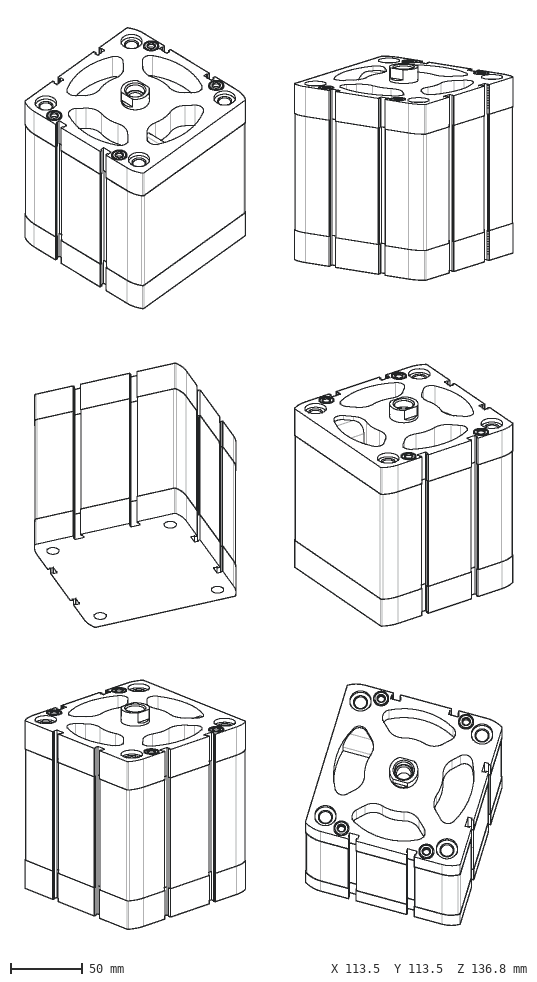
import cadquery as cq
import math

width = 113.5
half_width = width / 2
body_height = 127.0
cap_height = 21.5
barrel_height = body_height - 2 * cap_height
barrel_inset = 0.25

corner_center_x = 44.5
corner_radius = 23.0
cap_edge_radius = 1.2
barrel_edge_radius = 2.2

slot_opening_inner = 18.75
slot_opening_outer = 24.0
slot_floor_inner = 17.75
slot_floor_outer = 24.75
slot_lip = 1.8
slot_depth = 4.6
slot_chamfer = 0.2

pocket_outer_radius = 49.4
pocket_inner_radius = 27.6
web_offset = 9.6
pocket_depth = 19.0
pocket_outer_fillet = 5.7
pocket_inner_fillet = 12.0

port_radius = 8.1
port_axis_y = -20.0
port_crest_depth = 3.3

mount_position = 44.5
mount_hole_diameter = 8.57
mount_chamfer_diameter = 10.0
mount_counterbore_diameter = 15.0
mount_counterbore_depth = 3.0

screw_x = 31.1
screw_y = 50.35
screw_seat_diameter = 10.7
screw_head_diameter = 9.0
screw_gap_depth = 1.0
socket_rim_diameter = 6.0
socket_diameter = 4.8
socket_depth = 3.0

rod_diameter = 20.0
rod_radius = rod_diameter / 2
rod_projection = 9.8
rod_insertion = cap_height
flat_spacing = 17.0
flat_shoulder = 2.6
shoulder_slope = math.radians(30)
rod_rim_diameter = 15.0
rod_counterbore_diameter = 13.0
rod_counterbore_depth = 6.0
thread_diameter = 12.0
thread_core_diameter = 10.11
thread_depth = 20.0
drill_half_angle = math.radians(59)


def revolve_about_z(points):
    """Revolve an outline of (radius, z) points about the Z axis."""
    return cq.Workplane("XZ").polyline(points).close().revolve(360, (0, 0, 0), (0, 1, 0))


def four_corners(x, y):
    return [(sx * x, sy * y) for sx in (-1, 1) for sy in (-1, 1)]


def slot_cutter(inset, height):
    """One T-slot along Z in the -Y face, on the +X side of the centre plane."""
    face = -half_width + inset
    mouth_inner = slot_opening_inner - inset
    mouth_outer = slot_opening_outer + inset
    lip_y = -half_width + slot_lip
    floor_y = face + slot_depth
    return (
        cq.Workplane("XY")
        .moveTo(mouth_inner - slot_chamfer, face)
        .lineTo(mouth_inner, face + slot_chamfer)
        .lineTo(mouth_inner, lip_y)
        .lineTo(slot_floor_inner, lip_y)
        .lineTo(slot_floor_inner, floor_y)
        .lineTo(slot_floor_outer, floor_y)
        .lineTo(slot_floor_outer, lip_y)
        .lineTo(mouth_outer, lip_y)
        .lineTo(mouth_outer, face + slot_chamfer)
        .lineTo(mouth_outer + slot_chamfer, face)
        .close()
        .extrude(height)
    )


def section(inset, edge_radius, height):
    """A length of the housing with its rounded corners and T-slots, standing on Z = 0."""
    half = half_width - inset
    radius = corner_radius - inset
    center_y = half_width - corner_radius
    reach = half - corner_center_x
    corner_y = center_y + math.sqrt(radius**2 - reach**2)
    mid_angle = math.asin(reach / radius) / 2
    mid_x = corner_center_x + radius * math.sin(mid_angle)
    mid_y = center_y + radius * math.cos(mid_angle)
    block = (
        cq.Workplane("XY")
        .moveTo(-corner_center_x, half)
        .lineTo(corner_center_x, half)
        .threePointArc((mid_x, mid_y), (half, corner_y))
        .lineTo(half, -corner_y)
        .threePointArc((mid_x, -mid_y), (corner_center_x, -half))
        .lineTo(-corner_center_x, -half)
        .threePointArc((-mid_x, -mid_y), (-half, -corner_y))
        .lineTo(-half, corner_y)
        .threePointArc((-mid_x, mid_y), (-corner_center_x, half))
        .close()
        .extrude(height)
    )
    for side in ("<X", ">X"):
        block = block.faces(side).edges("|Z").fillet(edge_radius)
    slot = slot_cutter(inset, height)
    slot_pair = slot.union(slot.mirror("YZ"))
    for angle in (0, 180, 270):
        block = block.cut(slot_pair.rotate((0, 0, 0), (0, 0, 1), angle))
    return block


def web_point(radius):
    """Where the straight pocket side meets a circle about the origin, as (x, y) with y > 0."""
    y = (math.sqrt(2 * radius**2 - web_offset**2) - web_offset) / 2
    return (y + web_offset, y)


def pocket_cutter():
    """The pocket on the +X side of the top cap."""
    inner_x, inner_y = web_point(pocket_inner_radius)
    outer_x, outer_y = web_point(pocket_outer_radius)
    pocket = (
        cq.Workplane("XY", origin=(0, 0, body_height - pocket_depth))
        .moveTo(inner_x, inner_y)
        .lineTo(outer_x, outer_y)
        .threePointArc((pocket_outer_radius, 0), (outer_x, -outer_y))
        .lineTo(inner_x, -inner_y)
        .threePointArc((pocket_inner_radius, 0), (inner_x, inner_y))
        .close()
        .extrude(pocket_depth)
    )
    pocket = pocket.edges("|Z").edges("<X").fillet(pocket_inner_fillet)
    return pocket.edges("|Z").edges(">X").fillet(pocket_outer_fillet)


def port_housing():
    """Block with one rounded top edge, later trimmed to the pocket that it stands in."""
    height = pocket_depth - port_crest_depth
    side_y = port_axis_y + port_radius
    return (
        cq.Workplane("XY", origin=(0, 0, body_height - pocket_depth))
        .moveTo(0, side_y)
        .lineTo(pocket_outer_radius, side_y)
        .lineTo(pocket_outer_radius, -pocket_outer_radius)
        .lineTo(0, -pocket_outer_radius)
        .close()
        .extrude(height)
        .faces(">Z")
        .edges(">Y")
        .fillet(port_radius)
    )


def mounting_hole_cutter():
    hole_radius = mount_hole_diameter / 2
    rim_radius = mount_chamfer_diameter / 2
    counterbore_radius = mount_counterbore_diameter / 2
    ledge_z = body_height - mount_counterbore_depth
    return revolve_about_z([
        (0, 0),
        (hole_radius, 0),
        (hole_radius, ledge_z - (rim_radius - hole_radius)),
        (rim_radius, ledge_z),
        (counterbore_radius, ledge_z),
        (counterbore_radius, body_height),
        (0, body_height),
    ])


def screw_cutter():
    """The gap around a bevelled screw head and the conical-bottomed socket in it."""
    seat_radius = screw_seat_diameter / 2
    gap = revolve_about_z([
        (screw_head_diameter / 2, body_height),
        (seat_radius, body_height - screw_gap_depth),
        (seat_radius, body_height),
    ])
    rim_radius = socket_rim_diameter / 2
    socket_radius = socket_diameter / 2
    floor_z = body_height - socket_depth
    socket = revolve_about_z([
        (0, body_height),
        (rim_radius, body_height),
        (socket_radius, body_height - (rim_radius - socket_radius)),
        (socket_radius, floor_z),
        (0, floor_z - socket_radius / math.tan(drill_half_angle)),
    ])
    return gap.union(socket)


def make_housing():
    cap = section(0, cap_edge_radius, cap_height)
    barrel = section(barrel_inset, barrel_edge_radius, barrel_height)
    body = cap.union(barrel.translate((0, 0, cap_height)))
    body = body.union(cap.translate((0, 0, cap_height + barrel_height)))

    pocket = pocket_cutter()
    body = body.cut(pocket.cut(port_housing()))
    for angle in (90, 180, 270):
        body = body.cut(pocket.rotate((0, 0, 0), (0, 0, 1), angle))

    mounting_hole = mounting_hole_cutter()
    for x, y in four_corners(mount_position, mount_position):
        body = body.cut(mounting_hole.translate((x, y, 0)))

    screw = screw_cutter()
    for x, y in four_corners(screw_x, screw_y):
        body = body.cut(screw.translate((x, y, 0)))

    rod_bore = (
        cq.Workplane("XY", origin=(0, 0, body_height - rod_insertion))
        .circle(rod_radius)
        .extrude(rod_insertion)
    )
    return body.cut(rod_bore)


def flat_cutter():
    """Material removed beyond the +Y flat, down to a shoulder that slopes away from it."""
    rod_top = body_height + rod_projection
    flat_y = flat_spacing / 2
    shoulder_z = body_height + flat_shoulder
    drop = (rod_radius - flat_y) * math.tan(shoulder_slope)
    return (
        cq.Workplane("YZ")
        .moveTo(flat_y, rod_top)
        .lineTo(flat_y, shoulder_z)
        .lineTo(rod_radius, shoulder_z - drop)
        .lineTo(rod_radius, rod_top)
        .close()
        .extrude(rod_radius, both=True)
    )


def rod_hole_cutter():
    """Chamfered counterbore, then a countersunk thread hole with a conical bottom."""
    rod_top = body_height + rod_projection
    rim_radius = rod_rim_diameter / 2
    counterbore_radius = rod_counterbore_diameter / 2
    thread_radius = thread_diameter / 2
    core_radius = thread_core_diameter / 2
    ledge_z = rod_top - rod_counterbore_depth
    floor_z = rod_top - thread_depth
    return revolve_about_z([
        (0, rod_top),
        (rim_radius, rod_top),
        (counterbore_radius, rod_top - (rim_radius - counterbore_radius)),
        (counterbore_radius, ledge_z),
        (thread_radius, ledge_z),
        (core_radius, ledge_z - (thread_radius - core_radius)),
        (core_radius, floor_z),
        (0, floor_z - core_radius / math.tan(drill_half_angle)),
    ])


def make_piston_rod():
    rod = (
        cq.Workplane("XY", origin=(0, 0, body_height - rod_insertion))
        .circle(rod_radius)
        .extrude(rod_insertion + rod_projection)
    )
    flat = flat_cutter()
    rod = rod.cut(flat).cut(flat.mirror("XZ"))
    return rod.cut(rod_hole_cutter())


housing = make_housing()
piston_rod = make_piston_rod()

result = cq.Compound.makeCompound([housing.val(), piston_rod.val()])